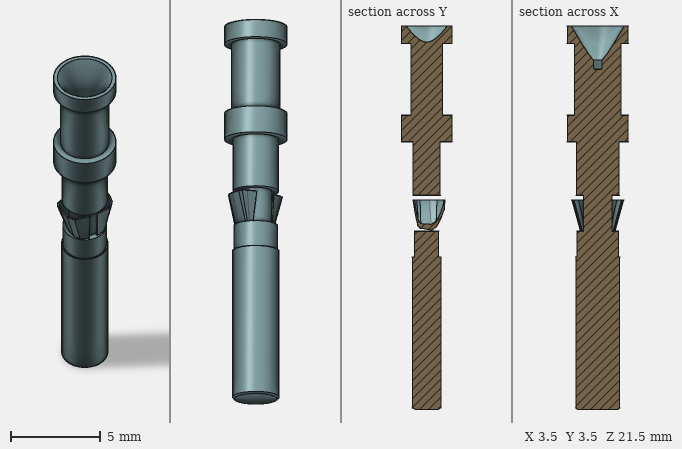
import cadquery as cq
import math

total_length = 21.5
flange_radius = 1.75
barrel_radius = 1.36
shank_radius = 1.275
pin_radius = 1.3
ring_radius = 1.225
groove_radius = 0.9

pin_top = 8.55
ring_top = 10.0
groove_top = 12.0
shank_top = 15.0
collar_top = 16.5
barrel_top = 20.5
tip_chamfer = 0.1

funnel_mouth_radius = 1.53
funnel_throat_radius = 0.43
funnel_half_angle = 30.0
throat_length = 0.5
drill_tip_half_angle = 59.0

barb_height = 1.75
barb_thickness = 0.1
barb_foot = [(-0.65, -0.66), (-0.55, -0.85), (-0.48, -0.93), (-0.36, -0.97),
             (0.29, -1.0), (0.55, -0.95), (0.92, -0.75), (1.09, -0.25)]
barb_rim = [(-0.92, -0.6), (-0.74, -1.14), (-0.62, -1.4), (-0.42, -1.5),
            (0.16, -1.5), (0.62, -1.42), (1.02, -1.13), (1.14, -0.25)]
barb_foot_center = (0.12, 0.0)
barb_rim_center = (0.12, -0.5)


def make_body():
    """Turned body, with the pin tip broken by a small chamfer."""
    sections = [
        (pin_radius, pin_top),
        (ring_radius, ring_top),
        (groove_radius, groove_top),
        (shank_radius, shank_top),
        (flange_radius, collar_top),
        (barrel_radius, barrel_top),
        (flange_radius, total_length),
    ]
    profile = [(0, 0), (pin_radius - tip_chamfer, 0)]
    bottom = tip_chamfer
    for radius, top in sections:
        profile += [(radius, bottom), (radius, top)]
        bottom = top
    profile.append((0, total_length))
    return cq.Workplane("XZ").polyline(profile).close().revolve(360, (0, 0), (0, 1))


def make_funnel():
    """Conical mouth, short straight throat and drill-point bottom."""
    cone_depth = (funnel_mouth_radius - funnel_throat_radius) / math.tan(math.radians(funnel_half_angle))
    tip_depth = funnel_throat_radius / math.tan(math.radians(drill_tip_half_angle))
    throat_top = total_length - cone_depth
    throat_bottom = throat_top - throat_length
    profile = [
        (0, total_length),
        (funnel_mouth_radius, total_length),
        (funnel_throat_radius, throat_top),
        (funnel_throat_radius, throat_bottom),
        (0, throat_bottom - tip_depth),
    ]
    return cq.Workplane("XZ").polyline(profile).close().revolve(360, (0, 0), (0, 1))


def sheet_outline(outer_points, center):
    """Close an outer line into a thin strip by pulling a copy of it towards the center."""
    inner_points = []
    for x, y in outer_points:
        dx = x - center[0]
        dy = y - center[1]
        shrink = 1 - barb_thickness / math.hypot(dx, dy)
        inner_points.append((center[0] + dx * shrink, center[1] + dy * shrink))
    return outer_points + inner_points[::-1]


def make_barb():
    """Barb on the -Y side, standing on the ring and spreading outwards."""
    return (
        cq.Workplane("XY", origin=(0, 0, ring_top))
        .polyline(sheet_outline(barb_foot, barb_foot_center)).close()
        .workplane(offset=barb_height)
        .polyline(sheet_outline(barb_rim, barb_rim_center)).close()
        .loft(ruled=True, combine=True)
    )


front_barb = make_barb()
back_barb = front_barb.mirror("XZ")
result = make_body().cut(make_funnel()).union(front_barb).union(back_barb)